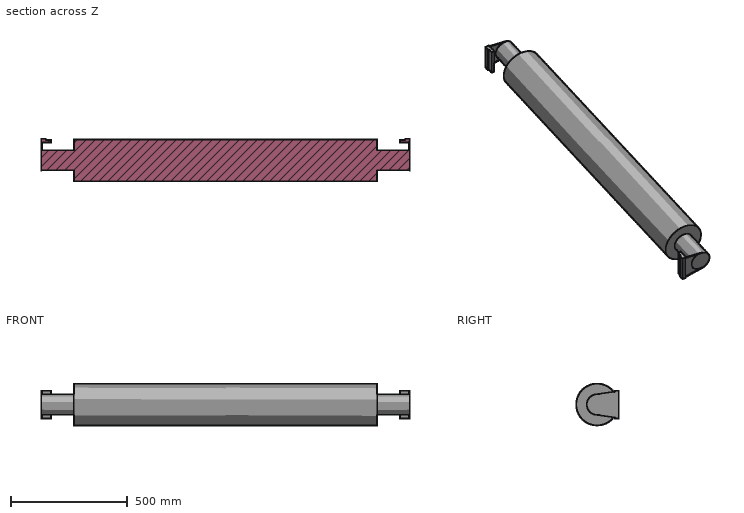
import cadquery as cq
import math

total_length = 1582.0
body_length = 1300.0
body_radius = 90.0
shaft_radius = 45.0

plate_thickness = 5.0
bracket_height = 120.0
flange_length = 43.0
flange_thickness = 13.0
pad_length = 20.0
pad_thickness = 5.0
bracket_back = 93.0
flange_back = bracket_back - pad_thickness
flange_front = flange_back - flange_thickness
plate_root_half_height = 55.0


def cylinder_along_x(radius, length):
    """Cylinder on the X axis, centred at the origin."""
    return cq.Workplane("YZ").circle(radius).extrude(length / 2, both=True)


def left_bracket():
    """Plate wrapping the shaft end, widening toward the flange."""
    corner_distance = math.hypot(flange_front, plate_root_half_height)
    corner_angle = math.atan2(plate_root_half_height, flange_front)
    tangent_angle = corner_angle + math.acos(shaft_radius / corner_distance)
    tangent_y = shaft_radius * math.cos(tangent_angle)
    tangent_z = shaft_radius * math.sin(tangent_angle)

    left_end = -total_length / 2
    plate = (
        cq.Workplane("YZ", origin=(left_end, 0, 0))
        .moveTo(flange_front, -plate_root_half_height)
        .lineTo(flange_front, plate_root_half_height)
        .lineTo(tangent_y, tangent_z)
        .threePointArc((-shaft_radius, 0), (tangent_y, -tangent_z))
        .close()
        .extrude(plate_thickness)
    )
    flange = cq.Workplane("XY").box(
        flange_length, flange_thickness, bracket_height, centered=(False, False, True)
    ).translate((left_end, flange_front, 0))
    pad = cq.Workplane("XY").box(
        pad_length, pad_thickness, bracket_height, centered=(False, False, True)
    ).translate((left_end, flange_back, 0))
    return plate.union(flange).union(pad)


bracket = left_bracket()
shaft = cylinder_along_x(shaft_radius, total_length)
body = cylinder_along_x(body_radius, body_length)
result = body.union(shaft).union(bracket).union(bracket.mirror("YZ"))